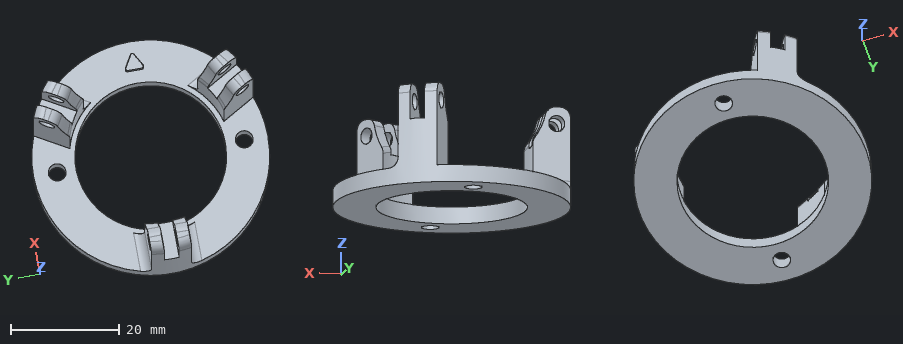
import cadquery as cq
import math

outer_radius = 22.0
bore_diameter = 28.0
base_thickness = 3.2
mount_hole_diameter = 3.2
feature_circle_radius = 17.55

total_height = 19.2
lug_inner_radius = 15.0
lug_width = 7.52
slot_width = 2.75
slot_floor_z = 12.2
blend_radius = 2.0
pin_diameter = 3.0
pin_x = -19.05
pin_z = 16.0

crown_center_x = -18.85
slope_start_angle = math.radians(13)
slope_end_angle = math.radians(41)
slope_radius = 12.3

pointer_inradius = 1.15
pointer_corner_radius = 0.4
pointer_height = 1.05

half_width = lug_width / 2
pick_margin = 0.45


def make_base():
    ring = cq.Workplane("XY").circle(outer_radius).circle(bore_diameter / 2).extrude(base_thickness)
    holes = (
        cq.Workplane("XY")
        .pushPoints([(0, feature_circle_radius), (0, -feature_circle_radius)])
        .circle(mount_hole_diameter / 2)
        .extrude(base_thickness)
    )
    return ring.cut(holes)


def lug_side_profile():
    """XZ outline: flat top, rounded crown, then a shallow concave slope towards the bore."""
    crown_z = total_height - blend_radius
    center_distance = blend_radius + slope_radius
    slope_center_x = crown_center_x + center_distance * math.cos(slope_start_angle)
    slope_center_z = crown_z + center_distance * math.sin(slope_start_angle)

    def crown_point(angle):
        return (crown_center_x + blend_radius * math.cos(angle), crown_z + blend_radius * math.sin(angle))

    def slope_point(angle):
        return (slope_center_x - slope_radius * math.cos(angle), slope_center_z - slope_radius * math.sin(angle))

    crown_mid_angle = (math.pi / 2 + slope_start_angle) / 2
    slope_mid_angle = (slope_start_angle + slope_end_angle) / 2
    slope_end = slope_point(slope_end_angle)
    return (
        cq.Workplane("XZ")
        .moveTo(-outer_radius, 0)
        .lineTo(-outer_radius, total_height)
        .lineTo(crown_center_x, total_height)
        .threePointArc(crown_point(crown_mid_angle), crown_point(slope_start_angle))
        .threePointArc(slope_point(slope_mid_angle), slope_end)
        .lineTo(slope_end[0], 0)
        .close()
        .extrude(half_width, both=True)
    )


def lug_ring():
    """Ring that gives every lug its curved outer and inner faces."""
    return cq.Workplane("XY").circle(outer_radius).circle(lug_inner_radius).extrude(total_height)


def make_upright():
    upright = lug_side_profile().intersect(lug_ring())
    crown_edge = cq.selectors.BoxSelector(
        (-outer_radius - pick_margin, -half_width / 2, total_height - pick_margin),
        (-outer_radius + pick_margin, half_width / 2, total_height + pick_margin),
        boundingbox=False,
    )
    shoulder_edge = cq.selectors.BoxSelector(
        (-lug_inner_radius - pick_margin, -half_width / 2, slot_floor_z),
        (-lug_inner_radius + pick_margin, half_width / 2, pin_z),
        boundingbox=False,
    )
    upright = upright.edges(crown_edge).fillet(blend_radius)
    upright = upright.edges(shoulder_edge).fillet(blend_radius)

    slot = cq.Workplane("XY").box(
        2 * outer_radius, slot_width, total_height, centered=(True, True, False)
    ).translate((0, 0, slot_floor_z))
    pin_hole = (
        cq.Workplane("XZ").center(pin_x, pin_z).circle(pin_diameter / 2).extrude(lug_width, both=True)
    )
    return upright.cut(slot).cut(pin_hole)


def make_foot_blend(side):
    """Concave fillet along one flank of a lug; side is +1 or -1 in Y."""
    flank_y = side * half_width
    toe_y = side * (half_width + blend_radius)
    blend_top_z = base_thickness + blend_radius
    arc_offset = blend_radius * (1 - math.sqrt(0.5))
    return (
        cq.Workplane("YZ")
        .moveTo(0, 0)
        .lineTo(toe_y, 0)
        .lineTo(toe_y, base_thickness)
        .threePointArc((flank_y + side * arc_offset, base_thickness + arc_offset), (flank_y, blend_top_z))
        .lineTo(0, blend_top_z)
        .close()
        .extrude(-outer_radius)
        .intersect(lug_ring())
    )


def make_pointer():
    return (
        cq.Workplane("XY")
        .polygon(3, 4 * pointer_inradius)
        .extrude(base_thickness + pointer_height)
        .edges("|Z")
        .fillet(pointer_corner_radius)
        .translate((feature_circle_radius, 0, 0))
    )


result = make_base().union(make_pointer())
for turn, blended_sides in ((0, (1, -1)), (120, (-1,)), (-120, (1,))):
    lug = make_upright()
    for blended_side in blended_sides:
        lug = lug.union(make_foot_blend(blended_side))
    result = result.union(lug.rotate((0, 0, 0), (0, 0, 1), turn))